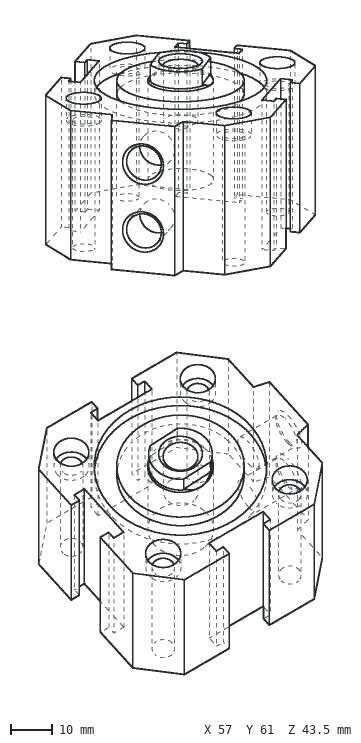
import cadquery as cq
import math

BLOCK_SIDE = 57.0
BLOCK_HEIGHT = 38.5
CORNER_CHAMFER = 8.95

TOTAL_DEPTH = 61.0
PAD_BASE_WIDTH = 18.05
PAD_FACE_WIDTH = 16.0

SLOT_MOUTH_WIDTH = 12.0
SLOT_WIDTH = 16.2
SLOT_LIP = 2.5
SLOT_DEPTH = 5.5

MOUNT_PITCH = 38.0
MOUNT_DIAMETER = 5.5
MOUNT_HEAD_DIAMETER = 8.55
MOUNT_HEAD_DEPTH = 5.6

GROOVE_OUTER_DIAMETER = 41.95
COLLAR_DIAMETER = 31.0
GROOVE_DEPTH = 3.5

PORT_HEIGHTS = (10.5, 28.0)
PORT_DIAMETER = 8.8
PORT_MOUTH_DIAMETER = 10.4
PORT_DEPTH = 12.2

TOTAL_HEIGHT = 43.5
ROD_DIAMETER = 16.0
ROD_LENGTH = 30.5
NECK_DIAMETER = 15.5
NECK_LENGTH = 4.4
SHOULDER_HEIGHT = 0.6
FLATS_WIDTH = 13.0
FLATS_LENGTH = 4.1
FLATS_TURN = 2.5
RAMP_DROP = 1.0
THREAD_DIAMETER = 8.5
THREAD_MOUTH_DIAMETER = 10.6
THREAD_DEPTH = 15.25
DRILL_POINT_ANGLE = 118.0

HALF_SIDE = BLOCK_SIDE / 2
PAD_FACE_Y = HALF_SIDE - TOTAL_DEPTH
ROD_BOTTOM = TOTAL_HEIGHT - ROD_LENGTH


def cylinder(diameter, bottom, height):
    """Upright cylinder on the Z axis."""
    return cq.Workplane("XY").workplane(offset=bottom).circle(diameter / 2).extrude(height)


def make_block():
    block = cq.Workplane("XY").rect(BLOCK_SIDE, BLOCK_SIDE).extrude(BLOCK_HEIGHT)
    return block.edges("|Z").chamfer(CORNER_CHAMFER)


def make_port_pad():
    outline = [
        (-PAD_BASE_WIDTH / 2, -HALF_SIDE),
        (-PAD_FACE_WIDTH / 2, PAD_FACE_Y),
        (PAD_FACE_WIDTH / 2, PAD_FACE_Y),
        (PAD_BASE_WIDTH / 2, -HALF_SIDE),
        (0, 0),
    ]
    return cq.Workplane("XY").polyline(outline).close().extrude(BLOCK_HEIGHT)


def make_t_slot(turn):
    """Full-height T-slot cutter in the +Y side, turned about Z by the given angle."""
    mouth = (
        cq.Workplane("XY")
        .center(0, HALF_SIDE - SLOT_DEPTH / 2)
        .rect(SLOT_MOUTH_WIDTH, SLOT_DEPTH)
        .extrude(BLOCK_HEIGHT)
    )
    channel = (
        cq.Workplane("XY")
        .center(0, HALF_SIDE - (SLOT_LIP + SLOT_DEPTH) / 2)
        .rect(SLOT_WIDTH, SLOT_DEPTH - SLOT_LIP)
        .extrude(BLOCK_HEIGHT)
    )
    return mouth.union(channel).rotate((0, 0, 0), (0, 0, 1), turn)


def make_groove():
    bottom = BLOCK_HEIGHT - GROOVE_DEPTH
    outer = cylinder(GROOVE_OUTER_DIAMETER, bottom, GROOVE_DEPTH)
    return outer.cut(cylinder(COLLAR_DIAMETER, bottom, GROOVE_DEPTH))


def make_port(height):
    """Blind port cutter with a 45 degree countersink, running in +Y from the pad face."""
    radius = PORT_DIAMETER / 2
    mouth_radius = PORT_MOUTH_DIAMETER / 2
    countersink = mouth_radius - radius
    profile = [
        (0, 0),
        (mouth_radius, 0),
        (radius, countersink),
        (radius, PORT_DEPTH),
        (0, PORT_DEPTH),
    ]
    port = cq.Workplane("XY").polyline(profile).close().revolve(360, (0, 0, 0), (0, 1, 0))
    return port.translate((0, PAD_FACE_Y, height))


def make_housing():
    housing = make_block().union(make_port_pad())
    for turn in (-90, 0, 90):
        housing = housing.cut(make_t_slot(turn))
    housing = (
        housing.faces(">Z")
        .workplane(origin=(0, 0, BLOCK_HEIGHT))
        .rect(MOUNT_PITCH, MOUNT_PITCH, forConstruction=True)
        .vertices()
        .cboreHole(MOUNT_DIAMETER, MOUNT_HEAD_DIAMETER, MOUNT_HEAD_DEPTH)
    )
    housing = housing.cut(make_groove())
    for height in PORT_HEIGHTS:
        housing = housing.cut(make_port(height))
    rod_bore = cylinder(ROD_DIAMETER, ROD_BOTTOM, ROD_LENGTH)
    return housing.cut(rod_bore)


def make_rod_blank():
    """Rod with a tapered shoulder up to its neck."""
    rod_radius = ROD_DIAMETER / 2
    neck_radius = NECK_DIAMETER / 2
    neck_bottom = TOTAL_HEIGHT - NECK_LENGTH
    profile = [
        (0, ROD_BOTTOM),
        (rod_radius, ROD_BOTTOM),
        (rod_radius, neck_bottom - SHOULDER_HEIGHT),
        (neck_radius, neck_bottom),
        (neck_radius, TOTAL_HEIGHT),
        (0, TOTAL_HEIGHT),
    ]
    return cq.Workplane("XZ").polyline(profile).close().revolve(360, (0, 0, 0), (0, 1, 0))


def make_flat(side):
    """Cutter for one wrench flat, ending in a ramp that runs out at the rod surface."""
    flat_x = side * FLATS_WIDTH / 2
    edge_x = side * ROD_DIAMETER / 2
    flat_bottom = TOTAL_HEIGHT - FLATS_LENGTH
    profile = [
        (flat_x, TOTAL_HEIGHT),
        (flat_x, flat_bottom),
        (edge_x, flat_bottom - RAMP_DROP),
        (edge_x, TOTAL_HEIGHT),
    ]
    return cq.Workplane("XZ").polyline(profile).close().extrude(ROD_DIAMETER / 2, both=True)


def make_thread_hole():
    """Blind hole from the rod end with a 45 degree countersink and a drill point."""
    radius = THREAD_DIAMETER / 2
    mouth_radius = THREAD_MOUTH_DIAMETER / 2
    countersink = mouth_radius - radius
    point_height = radius / math.tan(math.radians(DRILL_POINT_ANGLE / 2))
    hole_bottom = TOTAL_HEIGHT - THREAD_DEPTH
    profile = [
        (0, TOTAL_HEIGHT),
        (mouth_radius, TOTAL_HEIGHT),
        (radius, TOTAL_HEIGHT - countersink),
        (radius, hole_bottom),
        (0, hole_bottom - point_height),
    ]
    return cq.Workplane("XZ").polyline(profile).close().revolve(360, (0, 0, 0), (0, 1, 0))


def make_rod():
    """Rod with its wrench flats turned slightly about Z from the block sides."""
    rod = make_rod_blank()
    for side in (-1, 1):
        rod = rod.cut(make_flat(side))
    rod = rod.cut(make_thread_hole())
    return rod.rotate((0, 0, 0), (0, 0, 1), FLATS_TURN)


housing = make_housing()
piston_rod = make_rod()

result = cq.Compound.makeCompound([housing.val(), piston_rod.val()])